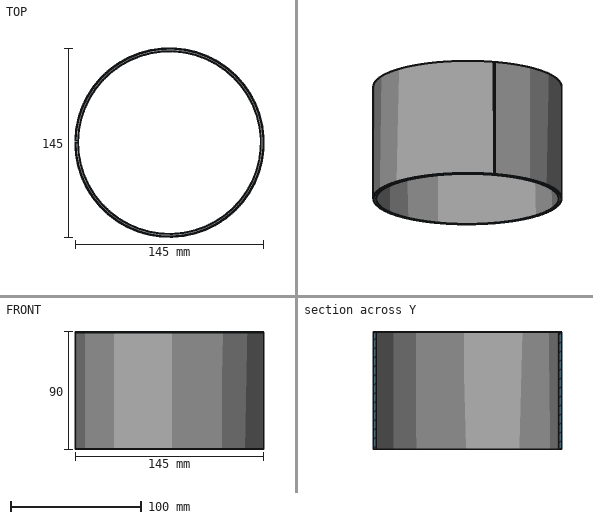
import cadquery as cq

OUTER_DIAMETER = 145.0
WALL = 2.5
HEIGHT = 90.0
OUTER_CHAMFER = 0.5
INNER_CHAMFER = 0.2
SPLIT_ANGLE = 1.0

OUTER_RADIUS = OUTER_DIAMETER / 2
INNER_RADIUS = OUTER_RADIUS - WALL


def wall_section():
    """Wall cross-section on the -X side, with all four corners chamfered."""
    return (
        cq.Workplane("XZ")
        .moveTo(-(INNER_RADIUS + INNER_CHAMFER), 0)
        .lineTo(-(OUTER_RADIUS - OUTER_CHAMFER), 0)
        .lineTo(-OUTER_RADIUS, OUTER_CHAMFER)
        .lineTo(-OUTER_RADIUS, HEIGHT - OUTER_CHAMFER)
        .lineTo(-(OUTER_RADIUS - OUTER_CHAMFER), HEIGHT)
        .lineTo(-(INNER_RADIUS + INNER_CHAMFER), HEIGHT)
        .lineTo(-INNER_RADIUS, HEIGHT - INNER_CHAMFER)
        .lineTo(-INNER_RADIUS, INNER_CHAMFER)
        .close()
    )


def split_ring():
    """Sweep the section about Z, leaving the split open just on the +Y side of -X."""
    return wall_section().revolve(360 - SPLIT_ANGLE, (0, 0, 0), (0, 1, 0))


result = split_ring()